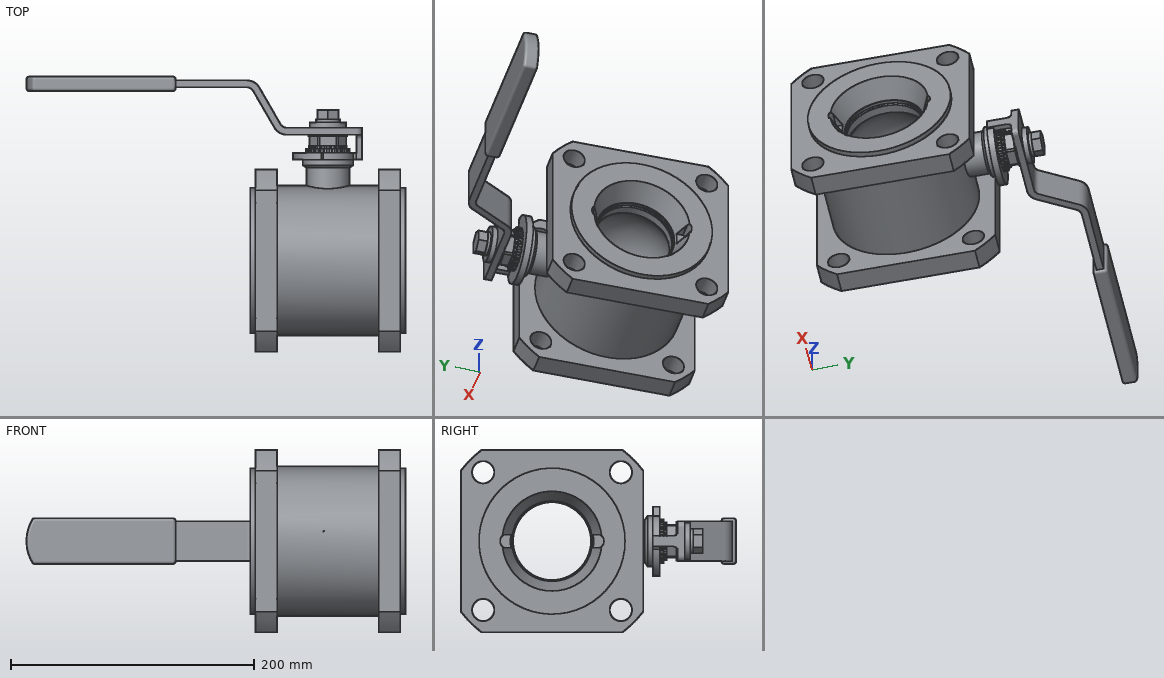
import cadquery as cq
import math


OVERALL_LENGTH = 312.0

HOUSING_LENGTH = 128.0
FACE_DIAMETER = 120.0
FACE_HEIGHT = 4.5
FLANGE_SIDE = 150.0
FLANGE_CORNER_DIAMETER = 189.5
FLANGE_THICKNESS = 17.8
BOLT_SPACING = 113.2
BOLT_HOLE_DIAMETER = 18.0
BARREL_DIAMETER = 123.5
PORT_MOUTH_DIAMETER = 82.0
PORT_TAPER_END_DIAMETER = 66.0
PORT_TAPER_DEPTH = 18.7
PORT_THROAT_DIAMETER = 65.0
NOTCH_WIDTH = 10.5
NOTCH_SPAN = 85.5
NOTCH_END_RADIUS = 6.0
NOTCH_DEPTH = 16.0
NECK_DIAMETER = 35.5
COLLAR_DIAMETER = 41.8
COLLAR_CONE_BASE_Y = 76.5
COLLAR_BASE_Y = 78.5
COLLAR_TOP_Y = 83.0

BALL_DIAMETER = 107.0
BALL_BORE_DIAMETER = 64.0
BALL_FLAT_DIAMETER = 69.2
BALL_HOLLOW_DIAMETER = 92.3

LEVER_THICKNESS = 6.0
LEVER_WIDTH = 32.7
LEVER_LOW_Y = 106.5
LEVER_HIGH_Y = 145.3
LEVER_BEND_X = -61.5
LEVER_SLOPE = 60
LEVER_BEND_INNER_RADIUS = LEVER_THICKNESS
LEVER_END_X = 28.0
LEVER_CORNER_RADIUS = 4.7
TAB_THICKNESS = 4.7
TAB_WIDTH = 8.7
TAB_ROOT_RADIUS = 4.0
GRIP_TIP_X = HOUSING_LENGTH / 2 - OVERALL_LENGTH
GRIP_END_X = -125.0
GRIP_WIDTH = 37.7
GRIP_THICKNESS = 12.2
GRIP_TIP_RADIUS = 34.3
GRIP_FILLET = 2.5

STOP_THICKNESS = 5.5
STOP_DIAMETER = 57.7
STOP_INNER_DIAMETER = 41.8
STOP_OPENING_START = -13
STOP_OPENING_END = 101
TOOTH_COUNT = 24
TOOTH_WIDTH = 2.2
TOOTHED_LOWER_DIAMETER = 36.2
TOOTHED_UPPER_DIAMETER = 31.2
TOOTH_DEPTH = 2.0
TOOTHED_LOWER_HEIGHT = 3.5
TOOTHED_UPPER_HEIGHT = 2.5
NUT_ACROSS_FLATS = 27.0
NUT_CORNER_DIAMETER = 30.3
SPACER_DIAMETER = 32.0
SPACER_THICKNESS = 1.2
WASHER_DIAMETER = 30.0
WASHER_THICKNESS = 4.5
BOLT_FLANGE_DIAMETER = 20.0
BOLT_FLANGE_THICKNESS = 2.5
BOLT_HEAD_ACROSS_FLATS = 17.5
BOLT_HEAD_TOP_Y = 123.8

LEVER_TOP_Y = LEVER_LOW_Y + LEVER_THICKNESS / 2
LEVER_UNDERSIDE_Y = LEVER_LOW_Y - LEVER_THICKNESS / 2
STOP_TOP_Y = COLLAR_TOP_Y + STOP_THICKNESS

CIRCLE = 360
HEX_SIDES = 6
HEX_HALF_STEP = 180 / HEX_SIDES


def across_plane(x):
    """Plane facing +X at x, with its own x along Y and its own y along Z."""
    return cq.Workplane("YZ", origin=(x, 0, 0))


def stem_plane(y):
    """Plane facing +Y at y, with its own x along X and its own y along -Z."""
    return cq.Workplane(cq.Plane(origin=(0, y, 0), xDir=(1, 0, 0), normal=(0, 1, 0)))


def stem_disc(diameter, bottom_y, height):
    return stem_plane(bottom_y).circle(diameter / 2).extrude(height)


def make_flange(x):
    corner_disc = across_plane(x).circle(FLANGE_CORNER_DIAMETER / 2).extrude(FLANGE_THICKNESS)
    holes = (
        across_plane(x)
        .rect(BOLT_SPACING, BOLT_SPACING, forConstruction=True)
        .vertices()
        .circle(BOLT_HOLE_DIAMETER / 2)
        .extrude(FLANGE_THICKNESS)
    )
    square = across_plane(x).rect(FLANGE_SIDE, FLANGE_SIDE).extrude(FLANGE_THICKNESS)
    return square.intersect(corner_disc).cut(holes)


def make_neck():
    """Neck with a collar whose underside is a short cone."""
    return (
        cq.Workplane("XY")
        .moveTo(0, BALL_DIAMETER / 2)
        .lineTo(NECK_DIAMETER / 2, BALL_DIAMETER / 2)
        .lineTo(NECK_DIAMETER / 2, COLLAR_CONE_BASE_Y)
        .lineTo(COLLAR_DIAMETER / 2, COLLAR_BASE_Y)
        .lineTo(COLLAR_DIAMETER / 2, COLLAR_TOP_Y)
        .lineTo(0, COLLAR_TOP_Y)
        .close()
        .revolve(CIRCLE, (0, 0, 0), (0, 1, 0))
    )


def make_port():
    """Tapered inlet on the -X side, from the end face into the ball cavity."""
    throat_radius = PORT_THROAT_DIAMETER / 2
    taper_end_x = PORT_TAPER_DEPTH - HOUSING_LENGTH / 2
    return (
        cq.Workplane("XY")
        .moveTo(-HOUSING_LENGTH / 2, 0)
        .lineTo(-HOUSING_LENGTH / 2, PORT_MOUTH_DIAMETER / 2)
        .lineTo(taper_end_x, PORT_TAPER_END_DIAMETER / 2)
        .lineTo(taper_end_x, throat_radius)
        .lineTo(0, throat_radius)
        .lineTo(0, 0)
        .close()
        .revolve(CIRCLE, (0, 0, 0), (1, 0, 0))
    )


def make_notches():
    """Pair of round-ended notches across the mouth of the -X port."""
    half_width = NOTCH_WIDTH / 2
    tip = NOTCH_SPAN / 2
    shoulder = tip - NOTCH_END_RADIUS + math.sqrt(NOTCH_END_RADIUS**2 - half_width**2)
    return (
        across_plane(-HOUSING_LENGTH / 2)
        .moveTo(-shoulder, -half_width)
        .lineTo(shoulder, -half_width)
        .threePointArc((tip, 0), (shoulder, half_width))
        .lineTo(-shoulder, half_width)
        .threePointArc((-tip, 0), (-shoulder, -half_width))
        .close()
        .extrude(NOTCH_DEPTH)
    )


def make_housing():
    end_x = HOUSING_LENGTH / 2
    flange_x = end_x - FACE_HEIGHT
    raised_faces = across_plane(-end_x).circle(FACE_DIAMETER / 2).extrude(HOUSING_LENGTH)
    barrel = across_plane(-flange_x).circle(BARREL_DIAMETER / 2).extrude(2 * flange_x)
    body = raised_faces.union(barrel).union(make_neck())
    for x in (-flange_x, flange_x - FLANGE_THICKNESS):
        body = body.union(make_flange(x))
    passage = make_port().union(make_notches())
    passage = passage.union(passage.mirror("YZ"))
    return body.cut(passage).cut(cq.Workplane("XY").sphere(BALL_DIAMETER / 2))


def make_ball():
    """Hollow ball with a flat around each mouth of its bore."""
    flat_x = math.sqrt((BALL_DIAMETER / 2) ** 2 - (BALL_FLAT_DIAMETER / 2) ** 2)
    slab = across_plane(-flat_x).circle(BALL_DIAMETER).extrude(2 * flat_x)
    bore = across_plane(-flat_x).circle(BALL_BORE_DIAMETER / 2).extrude(2 * flat_x)
    hollow = cq.Workplane("XY").sphere(BALL_HOLLOW_DIAMETER / 2)
    return cq.Workplane("XY").sphere(BALL_DIAMETER / 2).intersect(slab).cut(hollow).cut(bore)


def make_lever_strip():
    """Flat bar with two opposite bends, its far end rounded at the corners."""
    half_thickness = LEVER_THICKNESS / 2
    slope = math.radians(LEVER_SLOPE)
    low_bend_x = LEVER_BEND_X + (LEVER_HIGH_Y - LEVER_LOW_Y) / math.tan(slope)
    offset = half_thickness * math.tan(slope / 2)
    start_x = GRIP_TIP_X + GRIP_THICKNESS
    strip = (
        cq.Workplane("XY", origin=(0, 0, -LEVER_WIDTH / 2))
        .moveTo(start_x, LEVER_HIGH_Y + half_thickness)
        .lineTo(LEVER_BEND_X + offset, LEVER_HIGH_Y + half_thickness)
        .lineTo(low_bend_x + offset, LEVER_TOP_Y)
        .lineTo(LEVER_END_X, LEVER_TOP_Y)
        .lineTo(LEVER_END_X, LEVER_UNDERSIDE_Y)
        .lineTo(low_bend_x - offset, LEVER_UNDERSIDE_Y)
        .lineTo(LEVER_BEND_X - offset, LEVER_HIGH_Y - half_thickness)
        .lineTo(start_x, LEVER_HIGH_Y - half_thickness)
        .close()
        .extrude(LEVER_WIDTH)
    )
    inner_radius = LEVER_BEND_INNER_RADIUS
    outer_radius = inner_radius + LEVER_THICKNESS
    bends = (
        (LEVER_BEND_X + offset, LEVER_HIGH_Y + half_thickness, outer_radius),
        (LEVER_BEND_X - offset, LEVER_HIGH_Y - half_thickness, inner_radius),
        (low_bend_x + offset, LEVER_TOP_Y, inner_radius),
        (low_bend_x - offset, LEVER_UNDERSIDE_Y, outer_radius),
    )
    for x, y, radius in bends:
        strip = strip.edges(cq.selectors.NearestToPointSelector((x, y, 0))).fillet(radius)
    return strip.faces(">X").edges("|Y").fillet(LEVER_CORNER_RADIUS)


def make_tab():
    """Stop tab hanging from the lever's end, flared where it meets the lever."""
    half_width = TAB_WIDTH / 2
    root_half_width = half_width + TAB_ROOT_RADIUS
    flare_base_y = LEVER_UNDERSIDE_Y - TAB_ROOT_RADIUS
    arc_inset = TAB_ROOT_RADIUS * (1 - math.sqrt(0.5))
    arc_y = LEVER_UNDERSIDE_Y - arc_inset
    arc_z = half_width + arc_inset
    return (
        across_plane(LEVER_END_X - TAB_THICKNESS)
        .moveTo(COLLAR_TOP_Y, -half_width)
        .lineTo(flare_base_y, -half_width)
        .threePointArc((arc_y, -arc_z), (LEVER_UNDERSIDE_Y, -root_half_width))
        .lineTo(LEVER_UNDERSIDE_Y, root_half_width)
        .threePointArc((arc_y, arc_z), (flare_base_y, half_width))
        .lineTo(COLLAR_TOP_Y, half_width)
        .close()
        .extrude(TAB_THICKNESS)
    )


def make_grip():
    """Rounded sleeve over the lever, its tip an arc across the width."""
    half_width = GRIP_WIDTH / 2
    tip_depth = GRIP_TIP_RADIUS - math.sqrt(GRIP_TIP_RADIUS**2 - half_width**2)
    corner_x = GRIP_TIP_X + tip_depth
    return (
        stem_plane(LEVER_HIGH_Y - GRIP_THICKNESS / 2)
        .moveTo(GRIP_END_X, -half_width)
        .lineTo(GRIP_END_X, half_width)
        .lineTo(corner_x, half_width)
        .threePointArc((GRIP_TIP_X, 0), (corner_x, -half_width))
        .close()
        .extrude(GRIP_THICKNESS)
        .edges()
        .fillet(GRIP_FILLET)
    )


def make_stop_plate():
    """Disc with an opening between two radial walls that limits the lever's swing."""

    def rim_point(angle, radius):
        return radius * math.cos(math.radians(angle)), -radius * math.sin(math.radians(angle))

    middle = (STOP_OPENING_START + STOP_OPENING_END) / 2
    opening = (
        stem_plane(COLLAR_TOP_Y)
        .lineTo(*rim_point(STOP_OPENING_START, STOP_DIAMETER))
        .threePointArc(rim_point(middle, STOP_DIAMETER), rim_point(STOP_OPENING_END, STOP_DIAMETER))
        .close()
        .extrude(STOP_THICKNESS)
    )
    hub = stem_disc(STOP_INNER_DIAMETER, COLLAR_TOP_Y, STOP_THICKNESS)
    return stem_disc(STOP_DIAMETER, COLLAR_TOP_Y, STOP_THICKNESS).cut(opening).union(hub)


def make_toothed_ring(diameter, bottom_y, height):
    """Ring with teeth evenly spaced around its rim."""
    core = stem_disc(diameter - 2 * TOOTH_DEPTH, bottom_y, height)
    teeth = (
        stem_plane(bottom_y)
        .polarArray((diameter - TOOTH_DEPTH) / 2, 0, CIRCLE, TOOTH_COUNT)
        .rect(2 * TOOTH_DEPTH, TOOTH_WIDTH)
        .extrude(height)
    )
    return core.union(teeth.intersect(stem_disc(diameter, bottom_y, height)))


def make_hardware():
    """Stop plate, toothed washer, nut, spacer, top washer and bolt head."""
    upper_ring_y = STOP_TOP_Y + TOOTHED_LOWER_HEIGHT
    nut_y = upper_ring_y + TOOTHED_UPPER_HEIGHT
    spacer_y = LEVER_UNDERSIDE_Y - SPACER_THICKNESS
    nut_height = spacer_y - nut_y
    nut = (
        stem_plane(nut_y)
        .transformed(rotate=(0, 0, HEX_HALF_STEP))
        .polygon(HEX_SIDES, NUT_ACROSS_FLATS, circumscribed=True)
        .extrude(nut_height)
    )
    nut = nut.intersect(stem_disc(NUT_CORNER_DIAMETER, nut_y, nut_height))
    bolt_flange_y = LEVER_TOP_Y + WASHER_THICKNESS
    bolt_head_y = bolt_flange_y + BOLT_FLANGE_THICKNESS
    bolt_head = (
        stem_plane(bolt_head_y)
        .polygon(HEX_SIDES, BOLT_HEAD_ACROSS_FLATS, circumscribed=True)
        .extrude(BOLT_HEAD_TOP_Y - bolt_head_y)
    )
    return (
        make_stop_plate()
        .union(make_toothed_ring(TOOTHED_LOWER_DIAMETER, STOP_TOP_Y, TOOTHED_LOWER_HEIGHT))
        .union(make_toothed_ring(TOOTHED_UPPER_DIAMETER, upper_ring_y, TOOTHED_UPPER_HEIGHT))
        .union(nut)
        .union(stem_disc(SPACER_DIAMETER, spacer_y, SPACER_THICKNESS))
        .union(stem_disc(WASHER_DIAMETER, LEVER_TOP_Y, WASHER_THICKNESS))
        .union(stem_disc(BOLT_FLANGE_DIAMETER, bolt_flange_y, BOLT_FLANGE_THICKNESS))
        .union(bolt_head)
    )


def make_operator():
    """Lever with its tab and grip, fixed to the hardware on the stem axis."""
    lever = make_lever_strip().union(make_tab()).union(make_grip())
    return lever.union(make_hardware())


housing = make_housing()
ball = make_ball()
operator = make_operator()

result = cq.Compound.makeCompound([housing.val(), ball.val(), operator.val()])